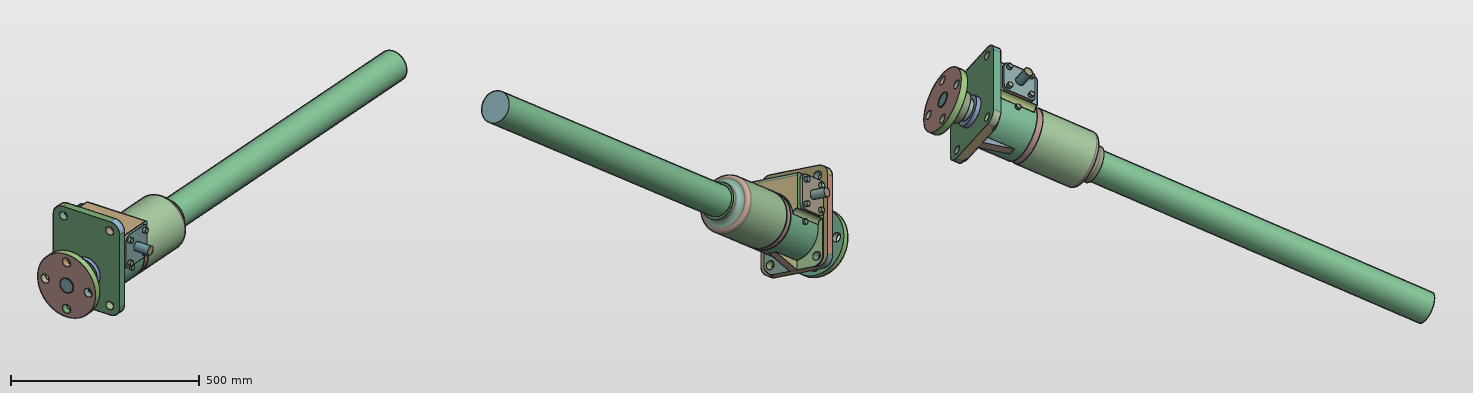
import cadquery as cq

total_length = 1515.0

flange_diameter = 188.0
flange_thickness = 20.0
hub_diameter = 90.0
hub_end_y = 60.0
flange_bolt_circle = 140.0
flange_hole_diameter = 26.0
flange_hole_count = 4

screw_diameter = 62.0
screw_end_diameter = 44.0
screw_end_chamfer = 2.0

plate_front_y = 92.0
plate_thickness = 23.0
plate_back_y = plate_front_y + plate_thickness
plate_width = 215.0
plate_height = 280.0
plate_bottom_z = -105.3
plate_center_z = plate_bottom_z + plate_height / 2
plate_corner_radius = 30.0
plate_hole_spacing_x = 150.0
plate_hole_spacing_z = 225.0
plate_hole_diameter = 25.0
pad_thickness = 5.0
collar_diameter = 90.0
collar_front_y = 79.0

barrel_radius = 80.0
groove_start_y = 247.0
groove_end_y = 265.0
groove_depth = 2.0
shoulder_y = 445.0
shoulder_radius = 12.0
neck_radius = 52.0
neck_fillet_radius = barrel_radius - shoulder_radius - neck_radius
neck_end_y = 475.0

worm_y = 177.0
worm_z = 73.0
box_width = 190.0
box_height = 100.0
box_bottom_z = worm_z - box_height / 2
box_rear_y = 238.0
box_edge_radius = 9.0
saddle_radius = box_width / 2 - barrel_radius

cover_length = 97.0
cover_height = 99.0
cover_outer_x = 103.0
cover_corner_radius = 15.0
bolt_spacing = 68.0
bolt_head_diameter = 15.0
bolt_outer_x = 112.0
shaft_diameter = 26.0
shaft_length = 295.0

plug_diameter = 15.0
plug_y = 185.0
plug_outer_x = 86.0
rib_width = 23.0
rib_length = 99.0

tube_diameter = 90.0


def cylinder_y(diameter, start_y, end_y):
    """Solid cylinder on the screw axis."""
    return cq.Workplane("XZ", origin=(0, start_y, 0)).circle(diameter / 2).extrude(start_y - end_y)


def cylinder_x(diameter, length, y, z):
    """Solid cylinder parallel to X, centred on X = 0."""
    return cq.Workplane("YZ").center(y, z).circle(diameter / 2).extrude(length / 2, both=True)


def make_plate():
    plate = (
        cq.Workplane("XZ", origin=(0, plate_front_y, plate_center_z))
        .rect(plate_width, plate_height)
        .extrude(-plate_thickness)
        .edges("|Y")
        .fillet(plate_corner_radius)
    )
    pad_height = box_bottom_z + box_height - plate_bottom_z
    pad = (
        cq.Workplane("XZ", origin=(0, plate_back_y, plate_bottom_z + pad_height / 2))
        .rect(box_width, pad_height)
        .extrude(-pad_thickness)
        .edges("|Y and <Z")
        .fillet(plate_corner_radius)
    )
    holes = (
        cq.Workplane("XZ", origin=(0, plate_front_y, plate_center_z))
        .rect(plate_hole_spacing_x, plate_hole_spacing_z, forConstruction=True)
        .vertices()
        .circle(plate_hole_diameter / 2)
        .extrude(-plate_thickness - pad_thickness)
    )
    return plate.union(pad).cut(holes)


def make_barrel():
    groove_radius = barrel_radius - groove_depth
    mid_arc = 0.5**0.5
    shoulder_start_y = shoulder_y - shoulder_radius
    fillet_end_y = shoulder_y + neck_fillet_radius
    bend_radius = neck_radius + neck_fillet_radius
    profile = (
        cq.Workplane("XY")
        .moveTo(0, plate_front_y)
        .lineTo(barrel_radius, plate_front_y)
        .lineTo(barrel_radius, groove_start_y)
        .lineTo(groove_radius, groove_start_y)
        .lineTo(groove_radius, groove_end_y)
        .lineTo(barrel_radius, groove_end_y)
        .lineTo(barrel_radius, shoulder_start_y)
        .threePointArc(
            (bend_radius + shoulder_radius * mid_arc, shoulder_start_y + shoulder_radius * mid_arc),
            (bend_radius, shoulder_y),
        )
        .threePointArc(
            (
                bend_radius - neck_fillet_radius * mid_arc,
                fillet_end_y - neck_fillet_radius * mid_arc,
            ),
            (neck_radius, fillet_end_y),
        )
        .lineTo(neck_radius, neck_end_y)
        .lineTo(0, neck_end_y)
        .close()
    )
    return profile.revolve(360, (0, 0, 0), (0, 1, 0))


def make_gearbox():
    box_length = box_rear_y - plate_front_y
    block = (
        cq.Workplane("XY")
        .box(box_width, box_length, box_height)
        .translate((0, plate_front_y + box_length / 2, worm_z))
        .edges(">Y and >Z")
        .fillet(box_edge_radius)
    )
    saddle_bottom_z = box_bottom_z - saddle_radius
    saddle = (
        cq.Workplane("XY")
        .box(box_width, box_length, saddle_radius)
        .translate((0, plate_front_y + box_length / 2, box_bottom_z - saddle_radius / 2))
    )
    for side in (-1, 1):
        hollow = (
            cq.Workplane("XZ", origin=(side * box_width / 2, plate_front_y, saddle_bottom_z))
            .circle(saddle_radius)
            .extrude(-box_length)
        )
        saddle = saddle.cut(hollow)
    return block.union(saddle)


def make_covers_and_shaft():
    covers = (
        cq.Workplane("YZ", origin=(0, worm_y, worm_z))
        .rect(cover_length, cover_height)
        .extrude(cover_outer_x, both=True)
        .edges("|X")
        .fillet(cover_corner_radius)
    )
    bolts = (
        cq.Workplane("YZ", origin=(0, worm_y, worm_z))
        .rect(bolt_spacing, bolt_spacing, forConstruction=True)
        .vertices()
        .circle(bolt_head_diameter / 2)
        .extrude(bolt_outer_x, both=True)
    )
    return covers.union(bolts).union(cylinder_x(shaft_diameter, shaft_length, worm_y, worm_z))


def make_rib():
    rib_start_y = plate_back_y + pad_thickness
    rib_end_y = rib_start_y + rib_length
    profile = (
        cq.Workplane("YZ")
        .moveTo(rib_start_y, 0)
        .lineTo(rib_start_y, plate_bottom_z)
        .lineTo(rib_end_y, -barrel_radius)
        .lineTo(rib_end_y, 0)
        .close()
    )
    return profile.extrude(rib_width / 2, both=True)


def make_housing():
    housing = make_barrel().union(make_gearbox())
    housing = housing.union(make_plate())
    housing = housing.union(cylinder_y(collar_diameter, collar_front_y, plate_front_y))
    housing = housing.union(make_covers_and_shaft())
    housing = housing.union(cylinder_x(plug_diameter, 2 * plug_outer_x, plug_y, 0))
    housing = housing.union(make_rib())
    return housing.cut(cylinder_y(screw_diameter, collar_front_y, neck_end_y))


def make_screw():
    screw_end = cylinder_y(screw_end_diameter, 0, hub_end_y).faces("<Y").chamfer(screw_end_chamfer)
    return screw_end.union(cylinder_y(screw_diameter, hub_end_y, neck_end_y))


def make_flange():
    flange = cylinder_y(flange_diameter, 0, flange_thickness)
    flange = flange.union(cylinder_y(hub_diameter, flange_thickness, hub_end_y))
    holes = (
        cq.Workplane("XZ")
        .polarArray(flange_bolt_circle / 2, 0, 360, flange_hole_count)
        .circle(flange_hole_diameter / 2)
        .extrude(-flange_thickness)
    )
    return flange.cut(holes).cut(cylinder_y(screw_end_diameter, 0, hub_end_y))


def make_tube():
    return cylinder_y(tube_diameter, neck_end_y, total_length)


housing = make_housing()
screw = make_screw()
flange = make_flange()
tube = make_tube()

result = cq.Compound.makeCompound([housing.val(), screw.val(), flange.val(), tube.val()])